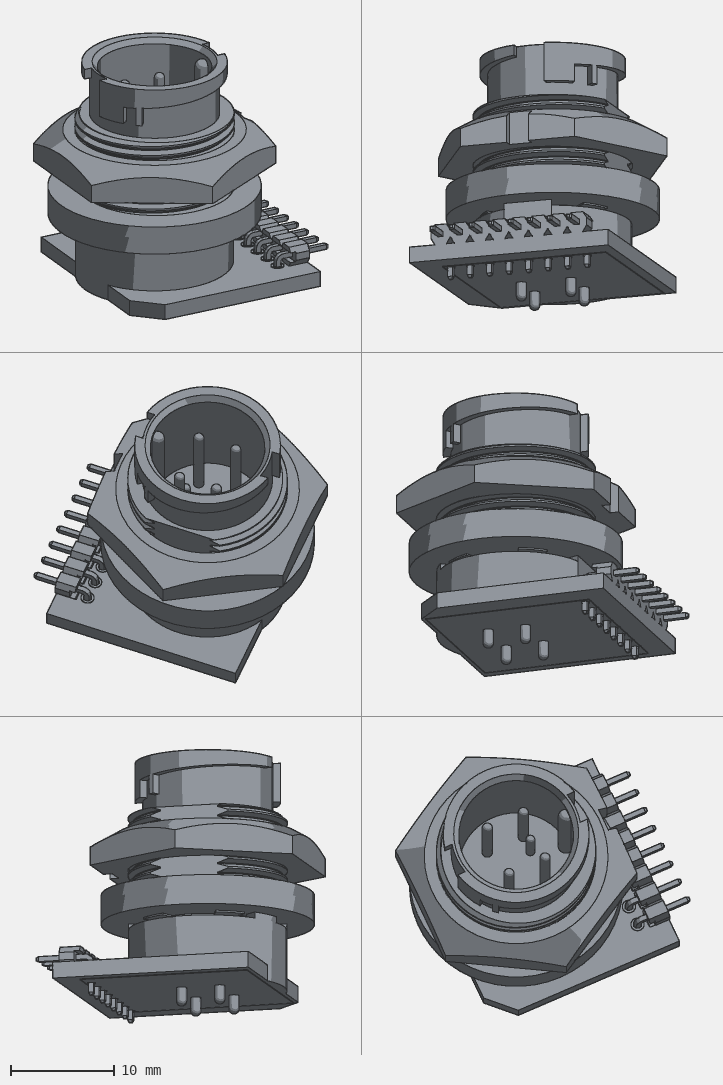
import cadquery as cq
import math

board_top = 1.56
base_top = 5.97
flange_bottom = 6.56
flange_seam = 8.18
flange_top = 9.41
nut_bottom = 11.85
nut_top = 15.28
cavity_floor = 12.0
thread_top = 17.02
stop_bottom = 18.6
ramp_low = 20.3
ramp_high = 21.5
barrel_top = 22.41

board_half_width = 10.2
board_front = -6.93
board_back = 12.71
board_chamfer = 2.53
trace_left, trace_right = -9.1, 7.66
trace_front, trace_back = -6.49, 10.3
copper_thickness = 0.07

base_radius = 7.66
base_back = 7.26
spacer_radius = 5.54
tab_inner_radius = 6.3
front_tab_start, front_tab_end = 13.8, 37.8
back_tab_end = 18.6
ledge_radius = 7.1
ledge_thickness = 0.16
ledge_start, ledge_end = 44.4, 68.0
flange_radius = 10.33
barrel_radius = 6.3
bore_radius = 5.54
bore_chamfer = 0.5

thread_radius = 7.72
thread_depth = 0.46
thread_pitch = 0.94
thread_groove_width = 0.84
thread_floor_width = 0.1
thread_start_angle = 250.0
flat_distance = 6.67
thread_overshoot = 0.05
cut_overshoot = 0.5

rim_radius = 7.05
slot_width = 3.06
rib_width_angle = 5.0
front_stop_angle, front_rib_angle = 36.0, 46.5
back_stop_angle, back_rib_angle = 37.0, 52.0

contact_radius = 0.5
contact_pitch_x, contact_pitch_y = 5.08, 3.83
contact_top = 19.87
contact_bottom = -1.85
index_radius = 0.44
index_x = -0.9
index_top = 16.0
dome_share = 0.95
key_radius = 0.75
key_y = 5.28
key_top = 21.55

pin_count = 8
pin_pitch = 2.0
pin_size = 0.5
pin_row_y = 9.71
pin_height = 2.57
pin_bend_radius = 0.55
pin_tip_y = 15.23
pin_tip_z = -1.22
pin_taper_length = 0.25
pin_taper_angle = 24.0
pad_radius = 0.64
pad_hole_radius = 0.4
header_top = 3.55
header_top_half_width = 0.6
header_side_low, header_side_high = 2.2, 2.94
header_front = 10.66
header_recess_back = 11.21
header_recess_low, header_recess_high = 2.03, 3.07

nut_across_corners = 23.46
nut_face_radius = 8.88
nut_bevel_angle = 30.0
keyway_width = 2.26
keyway_floor = 9.27


def disc(radius, bottom, top, x=0, y=0):
    return cq.Workplane("XY", origin=(x, y, bottom)).circle(radius).extrude(top - bottom)


def box(x_min, x_max, y_min, y_max, z_min, z_max):
    block = cq.Workplane("XY").box(x_max - x_min, y_max - y_min, z_max - z_min, centered=False)
    return block.translate((x_min, y_min, z_min))


def sector(inner_radius, outer_radius, start_angle, end_angle, bottom, top):
    """Ring piece between two angles measured counterclockwise from +X."""
    def at(radius, angle):
        turn = math.radians(angle)
        return (radius * math.cos(turn), radius * math.sin(turn))

    middle = (start_angle + end_angle) / 2
    return (
        cq.Workplane("XY", origin=(0, 0, bottom))
        .moveTo(*at(inner_radius, start_angle))
        .lineTo(*at(outer_radius, start_angle))
        .threePointArc(at(outer_radius, middle), at(outer_radius, end_angle))
        .lineTo(*at(inner_radius, end_angle))
        .threePointArc(at(inner_radius, middle), at(inner_radius, start_angle))
        .close()
        .extrude(top - bottom)
    )


def helical_sweep(profile_points, pitch, height, radius):
    """Sweep a radius/height profile up a right-handed helix that starts on +X."""
    helix = cq.Workplane(obj=cq.Wire.makeHelix(pitch, height, radius))
    return cq.Workplane("XZ").polyline(profile_points).close().sweep(helix, isFrenet=True)


def domed_pin(radius, x, y, bottom, top, round_bottom=False):
    """Round pin with a rounded top and, if asked, a rounded bottom."""
    pin = disc(radius, bottom, top, x, y)
    dome = dome_share * radius
    pin = pin.faces(">Z").edges().fillet(dome)
    if round_bottom:
        pin = pin.faces("<Z").edges().fillet(dome)
    return pin


def make_board():
    """Board with one chamfered corner and a thin copper layer underneath."""
    board = box(-board_half_width, board_half_width, board_front, board_back, 0, board_top)
    board = board.edges("|Z and >X and <Y").chamfer(board_chamfer)
    copper = box(trace_left, trace_right, trace_front, trace_back, -copper_thickness, 0)
    return board.union(copper)


def pin_positions():
    """X positions of the header pins."""
    first = -pin_pitch * (pin_count - 1) / 2
    return [first + pin_pitch * i for i in range(pin_count)]


def make_header_pin(x):
    """Square pin bent at a right angle, tapered at both ends."""
    bend_y = pin_row_y + pin_bend_radius
    bend_z = pin_height - pin_bend_radius
    bend_offset = pin_bend_radius * (1 - math.sqrt(0.5))
    shoulder_y = pin_tip_y - pin_taper_length
    shoulder_z = pin_tip_z + pin_taper_length
    path = (
        cq.Workplane("YZ", origin=(x, 0, 0))
        .moveTo(pin_row_y, shoulder_z)
        .lineTo(pin_row_y, bend_z)
        .threePointArc((pin_row_y + bend_offset, pin_height - bend_offset), (bend_y, pin_height))
        .lineTo(shoulder_y, pin_height)
    )
    section = cq.Workplane("XY", origin=(x, pin_row_y, shoulder_z)).rect(pin_size, pin_size)
    pin = section.sweep(path)
    for end in ("<Z", ">Y"):
        tip = pin.faces(end).workplane(centerOption="CenterOfMass").rect(pin_size, pin_size)
        pin = pin.union(tip.extrude(pin_taper_length, taper=pin_taper_angle, combine=False))
    return pin


def make_header_block(x):
    """Octagonal insulator around one pin, recessed behind the bend."""
    half = pin_pitch / 2
    outline = [
        (-header_top_half_width, board_top),
        (header_top_half_width, board_top),
        (half, header_side_low),
        (half, header_side_high),
        (header_top_half_width, header_top),
        (-header_top_half_width, header_top),
        (-half, header_side_high),
        (-half, header_side_low),
    ]
    block = cq.Workplane("XZ", origin=(x, board_back, 0)).polyline(outline).close()
    block = block.extrude(board_back - header_front)
    recess = box(
        x - half, x + half, header_front, header_recess_back, header_recess_low, header_recess_high
    )
    return block.cut(recess)


def make_thread():
    """Threaded sleeve around the barrel, with one flat side."""
    length = thread_top - flange_top
    margin = 2 * thread_pitch
    root = thread_radius - thread_depth
    mouth = thread_radius + thread_overshoot
    half_mouth = thread_groove_width / 2
    half_floor = thread_floor_width / 2
    groove = helical_sweep(
        [(root, half_floor), (mouth, half_mouth), (mouth, -half_mouth), (root, -half_floor)],
        thread_pitch, length + 2 * margin, root,
    )
    groove = groove.rotate((0, 0, 0), (0, 0, 1), thread_start_angle)
    groove = groove.translate((0, 0, flange_top - margin))
    groove = groove.intersect(disc(flange_radius, flange_top, thread_top))
    neck = disc(thread_radius, flange_top, thread_top).cut(groove)
    neck = neck.cut(disc(barrel_radius, flange_top, thread_top))
    reach = 2 * thread_radius
    return neck.intersect(box(-flat_distance, reach, -reach, reach, flange_top, thread_top))


def make_rim_half(stop_angle, rib_angle):
    """Cutter below the ramp, and the rib near its low end, for the half beside -X."""
    stop = 90 + stop_angle
    sweep_angle = 270 - stop
    rise = ramp_high - ramp_low
    inner = bore_radius
    outer = rim_radius + cut_overshoot
    depth = 2 * (ramp_high - stop_bottom)
    ramp_cut = helical_sweep(
        [(inner, 0), (outer, 0), (outer, -depth), (inner, -depth)],
        rise * 360 / sweep_angle, rise, inner,
    )
    ramp_cut = ramp_cut.rotate((0, 0, 0), (0, 0, 1), stop).translate((0, 0, ramp_low))
    rib_start = 90 + rib_angle
    rib = sector(
        barrel_radius, rim_radius, rib_start, rib_start + rib_width_angle, stop_bottom, ramp_high
    )
    return ramp_cut, rib


def make_rim():
    """Bayonet rim: two helical ramps, each ending at a stop block and a rib."""
    rim = disc(rim_radius, stop_bottom, barrel_top).cut(disc(barrel_radius, stop_bottom, barrel_top))
    halves = [(back_stop_angle, back_rib_angle, 0), (front_stop_angle, front_rib_angle, 180)]
    ribs = []
    for stop_angle, rib_angle, turn in halves:
        ramp_cut, rib = make_rim_half(stop_angle, rib_angle)
        rim = rim.cut(ramp_cut.rotate((0, 0, 0), (0, 0, 1), turn))
        ribs.append(rib.rotate((0, 0, 0), (0, 0, 1), turn))
    for rib in ribs:
        rim = rim.union(rib)
    half_slot = slot_width / 2
    slots = box(-half_slot, half_slot, -flange_radius, flange_radius, stop_bottom, barrel_top)
    return rim.cut(slots)


def make_base():
    """Round base with a flat back, spacer tabs and thin ledges below the flange."""
    base = disc(base_radius, 0, base_top).union(disc(spacer_radius, base_top, flange_bottom))
    front, back = 270, 90
    ledge_bottom = flange_bottom - ledge_thickness
    tabs = [
        (front - front_tab_end, front - front_tab_start),
        (front + front_tab_start, front + front_tab_end),
        (back - back_tab_end, back + back_tab_end),
    ]
    for start, end in tabs:
        base = base.union(sector(tab_inner_radius, base_radius, start, end, base_top, flange_bottom))
    for side in (front, back):
        for start, end in ((ledge_start, ledge_end), (-ledge_end, -ledge_start)):
            ledge = sector(
                spacer_radius, ledge_radius, side + start, side + end, ledge_bottom, flange_bottom
            )
            base = base.union(ledge)
    reach = 2 * base_radius
    return base.intersect(box(-reach, reach, -reach, base_back, 0, flange_bottom))


def make_board_assembly():
    """Board with the round base, plated holes and the angled pin header."""
    assembly = make_board().union(make_base())
    pad_bottom = -copper_thickness
    pad_top = board_top + copper_thickness
    for x in pin_positions():
        assembly = assembly.union(disc(pad_radius, pad_bottom, pad_top, x, pin_row_y))
        assembly = assembly.cut(disc(pad_hole_radius, pad_bottom, pad_top, x, pin_row_y))
    for x in pin_positions():
        assembly = assembly.union(make_header_block(x)).union(make_header_pin(x))
    return assembly


def make_barrel():
    """Plug barrel with its bayonet rim, open at the top."""
    barrel = disc(barrel_radius, flange_top, barrel_top).union(make_rim())
    barrel = barrel.cut(disc(bore_radius, cavity_floor, barrel_top))
    lip = cq.Workplane("XY", origin=(0, 0, barrel_top)).circle(bore_radius + bore_chamfer)
    lip = lip.workplane(offset=-bore_chamfer).circle(bore_radius).loft()
    return barrel.cut(lip)


def make_connector():
    """Everything but the nut, as one solid."""
    body = make_board_assembly()
    body = body.union(disc(flange_radius, flange_bottom, flange_seam))
    body = body.union(disc(flange_radius, flange_seam, flange_top), clean=False)
    body = body.union(make_barrel(), clean=False)

    row_y = contact_pitch_y / 2
    for x in (-contact_pitch_x / 2, contact_pitch_x / 2):
        for y in (-row_y, row_y):
            contact = domed_pin(contact_radius, x, y, contact_bottom, contact_top, True)
            body = body.union(contact, clean=False)
    body = body.union(domed_pin(index_radius, index_x, row_y, cavity_floor, index_top), clean=False)
    body = body.union(domed_pin(key_radius, 0, key_y, cavity_floor, key_top), clean=False)
    return body.union(make_thread(), clean=False)


def make_nut():
    """Hexagon nut, bevelled on top, with a keyway in its +Y side."""
    corner_radius = nut_across_corners / 2
    height = nut_top - nut_bottom
    nut = cq.Workplane("XY", origin=(0, 0, nut_bottom)).polygon(6, nut_across_corners).extrude(height)
    bevel_drop = (corner_radius - nut_face_radius) * math.tan(math.radians(nut_bevel_angle))
    envelope = (
        cq.Workplane("XZ")
        .moveTo(0, nut_bottom)
        .lineTo(corner_radius, nut_bottom)
        .lineTo(corner_radius, nut_top - bevel_drop)
        .lineTo(nut_face_radius, nut_top)
        .lineTo(0, nut_top)
        .close()
        .revolve(360, (0, 0, 0), (0, 1, 0))
    )
    nut = nut.intersect(envelope).cut(disc(thread_radius, nut_bottom, nut_top))
    half_key = keyway_width / 2
    keyway = box(-half_key, half_key, keyway_floor, corner_radius, nut_bottom, nut_top)
    return nut.cut(keyway)


connector = make_connector()
nut = make_nut()
result = cq.Compound.makeCompound([connector.solids().val(), nut.solids().val()])